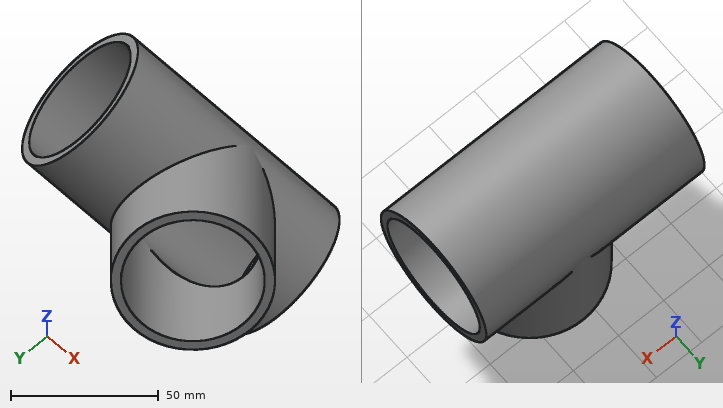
import cadquery as cq

run_length = 96.5
outer_diameter = 55.7
bore_diameter = 48.7
branch_reach = 54.1
branch_x = 54.0


def run_cylinder(diameter):
    return cq.Workplane("YZ").circle(diameter / 2).extrude(run_length)


def branch_cylinder(diameter):
    return cq.Workplane("XY").center(branch_x, 0).circle(diameter / 2).extrude(-branch_reach)


def tee(diameter):
    return run_cylinder(diameter).union(branch_cylinder(diameter))


result = tee(outer_diameter).cut(tee(bore_diameter))